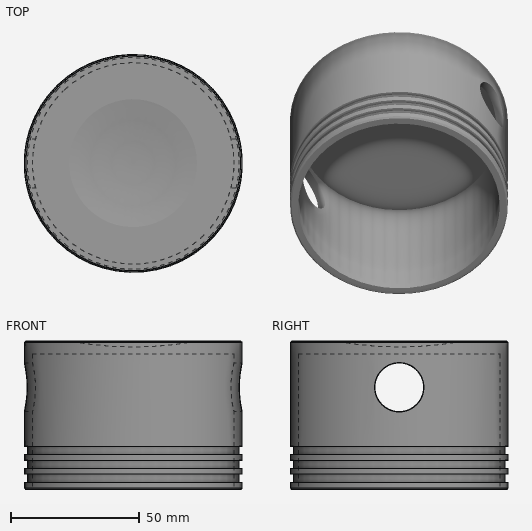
import cadquery as cq

outer_diameter = 85.0
height = 58.0
edge_chamfer = 0.6

cavity_diameter = 78.6
crown_thickness = 5.1

dish_diameter = 49.9
dish_depth = 2.3

groove_diameter = 82.6
groove_count = 3
groove_width = 3.15
land_width = 2.3
bottom_land_width = 2.9

pin_diameter = 19.0
pin_height = 39.95


def make_body():
    body = cq.Workplane("XY").circle(outer_diameter / 2).extrude(height)
    return body.faces("<Z or >Z").edges().chamfer(edge_chamfer)


def make_cavity():
    return cq.Workplane("XY").circle(cavity_diameter / 2).extrude(height - crown_thickness)


def make_dish():
    dish_radius = dish_diameter / 2
    sphere_radius = (dish_radius**2 + dish_depth**2) / (2 * dish_depth)
    sphere_center = height - dish_depth + sphere_radius
    return cq.Workplane("XY").sphere(sphere_radius).translate((0, 0, sphere_center))


def make_groove(bottom):
    groove = cq.Workplane("XY").workplane(offset=bottom)
    return groove.circle(outer_diameter / 2).circle(groove_diameter / 2).extrude(groove_width)


def make_pin_hole():
    hole = cq.Workplane("YZ").center(0, pin_height).circle(pin_diameter / 2)
    return hole.extrude(outer_diameter / 2, both=True)


result = make_body().cut(make_cavity()).cut(make_dish()).cut(make_pin_hole())
for index in range(groove_count):
    groove_bottom = bottom_land_width + index * (groove_width + land_width)
    result = result.cut(make_groove(groove_bottom))